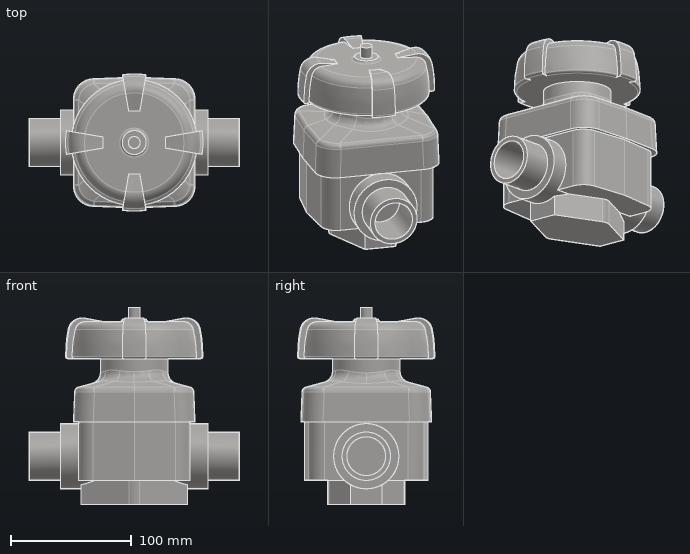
import cadquery as cq
import math


foot_half_length = 44.2
foot_half_width = 32.9
foot_end_half_width = 12.9
foot_nose_radius = 10.5

overall_length = 174.0
pipe_diameter = 40.0
bore_diameter = 32.0
collar_diameter = 54.0
collar_half_length = 61.0
pipe_height = 40.0

body_bottom = pipe_height - pipe_diameter / 2
body_half_length = 46.1
body_half_width = 51.2
body_fold_angle = 5.4
body_corner_radius = 13.4

bonnet_bottom = 68.4
bonnet_half_length = 50.3
bonnet_half_width = 54.1
bonnet_fold_angle = 2.2
bonnet_draft = 2.2
bonnet_corner_radius = 17.0
eaves_height = 96.4
roof_slope = 15.0
roof_top = 105.3
eaves_band = 1.7
roof_hip_radius = 50.5
eaves_radius = 4.5

neck_diameter = 56.0
neck_blend_radius = 9.0
neck_tolerance = 0.09
stem_diameter = 10.0
stem_top = 163.0

wheel_bottom = 120.5
wheel_top = 151.4
wheel_radius = 52.2
wheel_shoulder_radius = 49.6
wheel_flat_radius = 41.4
shoulder_height = 144.8
rim_radius = 2.1
boss_radius = 10.0
boss_height = 2.1

grip_count = 4
grip_radius = 56.9
grip_shoulder_radius = 54.8
grip_crest_radius = 41.0
grip_crest_height = 154.2
grip_inner_radius = 26.0
grip_inner_half_width = 4.61
grip_outer_half_width = 10.0


def folded_half(half_length, half_width, fold_angle, bottom, top, taper=0.0):
    """Block, mirror-symmetric in Y, whose long sides converge from the fold at X = 0 towards +X.

    It runs on past X = 0, far enough for a tapered end not to reach the fold.
    """
    slope = math.tan(math.radians(fold_angle))
    back = 2 * half_length
    points = [
        (-back, -half_width - back * slope),
        (half_length, -half_width + half_length * slope),
        (half_length, half_width - half_length * slope),
        (-back, half_width + back * slope),
    ]
    outline = cq.Workplane("XY", origin=(0, 0, bottom)).polyline(points).close()
    return outline.extrude(top - bottom, taper=taper)


def round_corners(block, radius):
    """Fillet the upright or sloping corner edges at the +X end of a block."""
    edges = [edge for edge in block.edges("not #Z").vals() if edge.Center().x > 0]
    return block.newObject(edges).fillet(radius)


def mirror_half(block):
    """Cut a block at X = 0 and join the +X part to its mirror image."""
    size = 2 * overall_length
    keep = cq.Workplane("XY").box(size, size, size, centered=(False, True, True))
    half = block.intersect(keep)
    return half.union(half.mirror("YZ"))


def cylinder_x(diameter, start, end):
    """Cylinder along the pipe axis from one X to another."""
    plane = cq.Workplane("YZ", origin=(start, 0, pipe_height))
    return plane.circle(diameter / 2).extrude(end - start)


def cylinder_z(diameter, bottom, top):
    """Upright cylinder on the stem axis."""
    return cq.Workplane("XY", origin=(0, 0, bottom)).circle(diameter / 2).extrude(top - bottom)


def make_foot():
    points = [
        (foot_half_length, foot_end_half_width),
        (0, foot_half_width),
        (-foot_half_length, foot_end_half_width),
        (-foot_half_length, -foot_end_half_width),
        (0, -foot_half_width),
        (foot_half_length, -foot_end_half_width),
    ]
    block = cq.Workplane("XY").polyline(points).close().extrude(pipe_height)
    return block.edges("|Z").edges(">Y or <Y").fillet(foot_nose_radius)


def make_body():
    block = folded_half(body_half_length, body_half_width, body_fold_angle, body_bottom, bonnet_bottom)
    return mirror_half(round_corners(block, body_corner_radius))


def make_bonnet_walls():
    """Drafted walls, taller than the roof."""
    block = folded_half(
        bonnet_half_length, bonnet_half_width, bonnet_fold_angle, bonnet_bottom, roof_top, bonnet_draft
    )
    return round_corners(block, bonnet_corner_radius)


def make_roof():
    """Hipped roof that meets the walls at the eaves and widens below them, down to the wall foot."""
    rise = eaves_height - bonnet_bottom
    spread = rise / math.tan(math.radians(roof_slope)) - rise * math.tan(math.radians(bonnet_draft))
    block = folded_half(
        bonnet_half_length + spread,
        bonnet_half_width + spread / math.cos(math.radians(bonnet_fold_angle)),
        bonnet_fold_angle,
        bonnet_bottom,
        roof_top,
        90 - roof_slope,
    )
    return round_corners(block, roof_hip_radius)


def round_eaves(bonnet):
    """Fillet the nearly level chain of edges where the walls meet the roof."""
    eaves = [
        edge
        for edge in bonnet.edges().vals()
        if abs(edge.Center().z - eaves_height) < eaves_band
        and edge.Center().x > -bonnet_half_length / 2
        and abs(edge.tangentAt(0.5).z) < math.sin(math.radians(roof_slope)) / 2
    ]
    return bonnet.newObject(eaves).fillet(eaves_radius)


def blend_neck(bonnet):
    """Fillet the edges where the neck cylinder leaves the roof."""
    neck_radius = neck_diameter / 2
    roof_edges = [
        edge
        for edge in bonnet.edges().vals()
        if eaves_height < edge.Center().z < roof_top
        and all(
            abs(math.hypot(point.x, point.y) - neck_radius) < neck_tolerance
            for point in (edge.startPoint(), edge.positionAt(0.5), edge.endPoint())
        )
    ]
    return bonnet.newObject(roof_edges).fillet(neck_blend_radius)


def make_bonnet():
    bonnet = round_eaves(make_bonnet_walls().intersect(make_roof()))
    bonnet = mirror_half(bonnet)
    return blend_neck(bonnet.union(cylinder_z(neck_diameter, bonnet_bottom, wheel_bottom)))


def make_housing():
    half_length = overall_length / 2
    housing = make_foot().union(make_body())
    housing = housing.union(cylinder_x(collar_diameter, -collar_half_length, collar_half_length))
    housing = housing.union(cylinder_x(pipe_diameter, -half_length, half_length))
    housing = housing.cut(cylinder_x(bore_diameter, -half_length, -body_half_length))
    housing = housing.cut(cylinder_x(bore_diameter, body_half_length, half_length))
    housing = housing.union(make_bonnet())
    return housing.union(cylinder_z(stem_diameter, wheel_bottom, stem_top))


def rim_start(outer_radius):
    """Profile up to the rounded bottom rim of the wheel or of a grip."""
    setback = rim_radius * (1 - math.sqrt(0.5))
    return (
        cq.Workplane("XZ")
        .moveTo(0, wheel_bottom)
        .lineTo(outer_radius - rim_radius, wheel_bottom)
        .threePointArc(
            (outer_radius - setback, wheel_bottom + setback),
            (outer_radius, wheel_bottom + rim_radius),
        )
    )


def make_wheel_disc():
    boss_top = wheel_top + boss_height
    boss_setback = boss_height * (1 - math.sqrt(0.5))
    profile = (
        rim_start(wheel_radius)
        .tangentArcPoint((wheel_shoulder_radius, shoulder_height), relative=False)
        .tangentArcPoint((wheel_flat_radius, wheel_top), relative=False)
        .lineTo(boss_radius + boss_height, wheel_top)
        .threePointArc(
            (boss_radius + boss_setback, wheel_top + boss_setback),
            (boss_radius, boss_top),
        )
        .lineTo(0, boss_top)
        .close()
    )
    return profile.revolve(360, (0, 0), (0, 1))


def make_grip():
    """Grip along +X: a wedge in plan with a revolved outer face."""
    profile = (
        rim_start(grip_radius)
        .tangentArcPoint((grip_shoulder_radius, shoulder_height), relative=False)
        .tangentArcPoint((grip_crest_radius, grip_crest_height), relative=False)
        .lineTo(grip_inner_radius, wheel_top)
        .lineTo(0, wheel_top)
        .close()
    )
    wedge = (
        cq.Workplane("XY", origin=(0, 0, wheel_bottom))
        .polyline([
            (grip_inner_radius, -grip_inner_half_width),
            (grip_radius, -grip_outer_half_width),
            (grip_radius, grip_outer_half_width),
            (grip_inner_radius, grip_inner_half_width),
        ])
        .close()
        .extrude(stem_top - wheel_bottom)
    )
    return profile.revolve(360, (0, 0), (0, 1)).intersect(wedge)


def make_handwheel():
    wheel = make_wheel_disc()
    grip = make_grip()
    for index in range(grip_count):
        wheel = wheel.union(grip.rotate((0, 0, 0), (0, 0, 1), index * 360 / grip_count))
    return wheel.cut(cylinder_z(stem_diameter, wheel_bottom, stem_top))


housing = make_housing()
handwheel = make_handwheel()

result = cq.Compound.makeCompound([housing.val(), handwheel.val()])